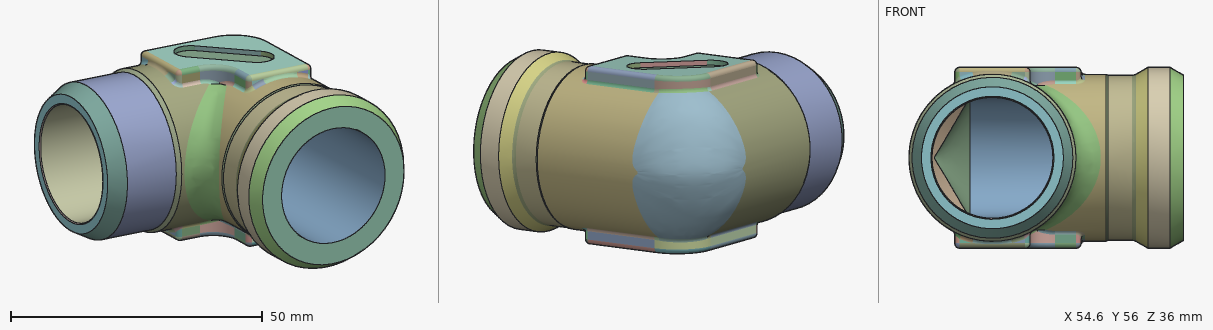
import cadquery as cq
import math

overall_x = 54.6
overall_y = 56.0
collar_radius = 36.0 / 2
leg_length = overall_y - collar_radius
body_radius = overall_x - leg_length
bore_radius = 24.0 / 2

outer_bend_radius = 15.0
inner_bend_radius = 5.0
corner_reach = 22.1
corner_half_height = 15.1

neck_radius = 32.9 / 2
neck_start = 22.55
neck_step = 0.4
collar_start = 30.9
collar_cone_angle = math.radians(30)
collar_cone_length = (collar_radius - neck_radius) / math.tan(collar_cone_angle)
neck_fillet = 1.5

spigot_radius = 32.0 / 2
spigot_face_radius = 28.2 / 2
spigot_start = 23.2
shoulder_length = 0.9
spigot_taper_length = 3.5
mouth_chamfer = 0.2

drill_half_angle = math.radians(59)
drill_point_length = bore_radius / math.tan(drill_half_angle)
x_bore_end = -4.5
y_bore_end = 0.0

pad_half_width = 7.5
pad_reach = 17.65
pad_half_height = collar_radius
pad_outer_corner = 8.0
pad_inner_corner = 5.0
pad_end_corner = 1.0
pad_top_fillet = 1.0
pad_base_fillet = 0.85

recess_center = (3.15, -4.35)
recess_length = 20.3
recess_width = 6.85
recess_depth = 1.0
recess_angle = 45


def x_leg(profile):
    """Turn (axial distance, radius) points into a solid of revolution along +X."""
    return cq.Workplane("XY").polyline(profile).close().revolve(360, (0, 0), (1, 0))


def to_y_leg(solid):
    """Turn a solid lying along +X so that it lies along -Y."""
    return solid.rotate((0, 0, 0), (0, 0, 1), -90)


def near(x, y, z):
    return cq.selectors.NearestToPointSelector((x, y, z))


def mitred_elbow():
    """Two plain cylinders meeting at a sharp 90 degree mitre, flat above and below."""
    far = body_radius + corner_reach
    miter_half = (
        cq.Workplane("XY")
        .polyline([(-far, far), (far, far), (far, -far)])
        .close()
        .extrude(corner_half_height, both=True)
    )
    cylinder = cq.Workplane("ZY").workplane(offset=-corner_reach).circle(body_radius).extrude(far + corner_reach)
    x_half = cylinder.intersect(miter_half)
    return x_half.union(to_y_leg(x_half.mirror("XZ")))


def rounded_corner():
    """Elbow with the outside of the bend rounded; the pads cover its flats."""
    elbow = mitred_elbow()
    outer_edges = [edge for edge in elbow.edges("%ELLIPSE").vals() if edge.Center().x < 0]
    return elbow.newObject(outer_edges).fillet(outer_bend_radius)


def inner_web():
    """Rounded inside of the bend, cut down to the quadrant between the legs."""
    elbow = mitred_elbow()
    elbow = elbow.edges("%ELLIPSE").edges(">X").fillet(inner_bend_radius)
    quadrant_size = corner_reach - pad_half_width
    quadrant_center = pad_half_width + quadrant_size / 2
    quadrant = cq.Workplane("XY").box(quadrant_size, quadrant_size, 2 * body_radius)
    return elbow.intersect(quadrant.translate((quadrant_center, -quadrant_center, 0)))


def neck_and_collar():
    cone_start = collar_start - collar_cone_length
    chamfer_start = leg_length - collar_cone_length
    leg = x_leg([
        (0, 0),
        (0, body_radius),
        (neck_start, body_radius),
        (neck_start + neck_step, neck_radius),
        (cone_start, neck_radius),
        (collar_start, collar_radius),
        (chamfer_start, collar_radius),
        (leg_length, neck_radius),
        (leg_length, 0),
    ])
    neck_end = cq.selectors.BoxSelector(
        (cone_start - 0.05, -body_radius, -body_radius), (cone_start + 0.05, body_radius, body_radius)
    )
    return leg.edges(neck_end).fillet(neck_fillet)


def spigot():
    return to_y_leg(x_leg([
        (0, 0),
        (0, body_radius),
        (spigot_start - shoulder_length, body_radius),
        (spigot_start, spigot_radius),
        (leg_length - spigot_taper_length, spigot_radius),
        (leg_length, spigot_face_radius),
        (leg_length, 0),
    ]))


def pads():
    """L-shaped prism whose two ends stand out above and below the body."""
    prism = (
        cq.Workplane("XY")
        .polyline([
            (-pad_half_width, pad_half_width),
            (pad_reach, pad_half_width),
            (pad_reach, -pad_half_width),
            (pad_half_width, -pad_half_width),
            (pad_half_width, -pad_reach),
            (-pad_half_width, -pad_reach),
        ])
        .close()
        .extrude(pad_half_height, both=True)
    )
    prism = prism.edges(near(-pad_half_width, pad_half_width, 0)).fillet(pad_outer_corner)
    prism = prism.edges(near(pad_half_width, -pad_half_width, 0)).fillet(pad_inner_corner)
    prism = prism.edges("|Z").edges(">X or <Y").fillet(pad_end_corner)
    return prism.faces("|Z").edges().fillet(pad_top_fillet)


def fillet_pad_bases(body):
    """Round the foot of each pad; one edge picks up the whole smooth outline."""
    side_x = (pad_half_width + pad_reach) / 2
    side_z = math.sqrt(body_radius**2 - pad_half_width**2)
    for z in (side_z, -side_z):
        body = body.edges(near(side_x, pad_half_width, z)).fillet(pad_base_fillet)
    return body


def blind_bore(full_diameter_end):
    """Drilled hole along X, open at +X; the drill point lies beyond its full diameter."""
    return x_leg([
        (full_diameter_end - drill_point_length, 0),
        (full_diameter_end, bore_radius),
        (leg_length, bore_radius),
        (leg_length, 0),
    ])


def spigot_mouth():
    """Small cone that breaks the edge of the bore at the spigot face."""
    return to_y_leg(x_leg([
        (leg_length - mouth_chamfer, 0),
        (leg_length - mouth_chamfer, bore_radius),
        (leg_length, bore_radius + mouth_chamfer),
        (leg_length, 0),
    ]))


def pad_recess():
    return (
        cq.Workplane("XY", origin=(*recess_center, pad_half_height))
        .slot2D(recess_length, recess_width, recess_angle)
        .extrude(-recess_depth)
    )


result = rounded_corner().union(pads()).union(neck_and_collar().union(spigot()))
result = fillet_pad_bases(result).union(inner_web())
result = result.cut(blind_bore(x_bore_end)).cut(to_y_leg(blind_bore(y_bore_end)))
result = result.cut(spigot_mouth()).cut(pad_recess())